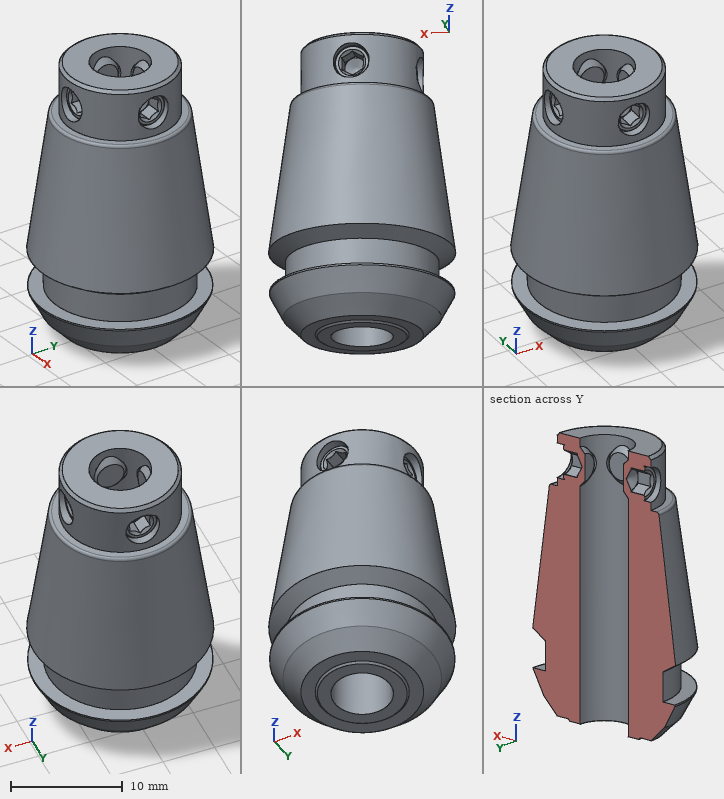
import cadquery as cq
import math

total_height = 27.0
bore_radius = 5.6 / 2

foot_height = 0.2
foot_radius = 4.2
ring_bottom_radius = 11.0 / 2
ring_knee_radius = 7.1
ring_rim_radius = 16.6 / 2
rim_thickness = 0.15
ring_top_z = 4.18
rim_bottom_z = ring_top_z - rim_thickness
ring_knee_z = foot_height + ring_knee_radius - ring_bottom_radius

neck_radius = 13.8 / 2

sleeve_bottom_z = 7.0
sleeve_widest_z = 7.9
sleeve_widest_radius = 16.77 / 2
sleeve_taper_deg = 8.0
sleeve_edge_fillet = 0.3

collar_height = 5.05
collar_radius = 11.0 / 2
collar_chamfer = 0.3
sleeve_top_z = total_height - collar_height
sleeve_height = sleeve_top_z - sleeve_widest_z
sleeve_top_radius = sleeve_widest_radius - sleeve_height * math.tan(math.radians(sleeve_taper_deg))

screw_count = 4
screw_z = 24.33
access_hole_radius = 3.25 / 2
screw_radius = 2.0
screw_tip_distance = 2.25
screw_head_distance = 4.78
screw_tip_radius = 1.3
screw_head_rim_radius = 1.5
socket_sides = 6
socket_width = 1.95
socket_depth = 1.62
socket_lead_in_radius = 1.25
drill_cone_half_angle_deg = 60.0


def make_body():
    """Turned body with a through bore."""
    profile = [
        (bore_radius, 0),
        (foot_radius - foot_height, 0),
        (foot_radius, foot_height),
        (ring_bottom_radius, foot_height),
        (ring_knee_radius, ring_knee_z),
        (ring_rim_radius, rim_bottom_z),
        (ring_rim_radius, ring_top_z),
        (neck_radius, ring_top_z),
        (neck_radius, sleeve_bottom_z),
        (sleeve_widest_radius, sleeve_widest_z),
        (sleeve_top_radius, sleeve_top_z),
        (collar_radius, sleeve_top_z),
        (collar_radius, total_height - collar_chamfer),
        (collar_radius - collar_chamfer, total_height),
        (bore_radius, total_height),
    ]
    body = cq.Workplane("XZ").polyline(profile).close().revolve(360, (0, 0, 0), (0, 1, 0))
    sleeve_edge = body.edges("%CIRCLE").filter(
        lambda edge: math.isclose(edge.radius(), sleeve_top_radius, rel_tol=1e-6)
    )
    return sleeve_edge.fillet(sleeve_edge_fillet)


def make_screw():
    """Set screw along Z: tip facing down, hex socket with a drill cone in the upper end."""
    socket_corner_radius = socket_width / 2 / math.cos(math.pi / socket_sides)
    drill_radius = socket_width / 2
    cone_depth = drill_radius / math.tan(math.radians(drill_cone_half_angle_deg))
    socket_floor_z = screw_head_distance - socket_depth

    shank = (
        cq.Workplane("XY", origin=(0, 0, screw_tip_distance))
        .circle(screw_radius)
        .extrude(screw_head_distance - screw_tip_distance)
        .faces("<Z").chamfer(screw_radius - screw_tip_radius)
        .faces(">Z").chamfer(screw_radius - screw_head_rim_radius)
    )
    socket = (
        cq.Workplane("XY", origin=(0, 0, socket_floor_z))
        .polygon(socket_sides, 2 * socket_corner_radius)
        .extrude(socket_depth)
    )
    drill_cone = cq.Solid.makeCone(
        drill_radius, 0, cone_depth, cq.Vector(0, 0, socket_floor_z), cq.Vector(0, 0, -1)
    )
    lead_in = cq.Solid.makeCone(
        socket_lead_in_radius, 0, socket_lead_in_radius,
        cq.Vector(0, 0, screw_head_distance), cq.Vector(0, 0, -1),
    )
    return shank.cut(socket).cut(drill_cone).cut(lead_in)


def place_around_collar(shape):
    """Lay a Z-directed shape along each of the radial screw axes."""
    radial = shape.rotate((0, 0, 0), (0, 1, 0), 90).translate((0, 0, screw_z))
    return [radial.rotate((0, 0, 0), (0, 0, 1), i * 360 / screw_count) for i in range(screw_count)]


access_hole = cq.Workplane("XY").circle(access_hole_radius).extrude(sleeve_widest_radius)

result = make_body()
for hole in place_around_collar(access_hole):
    result = result.cut(hole)
for screw in place_around_collar(make_screw()):
    result = result.union(screw)